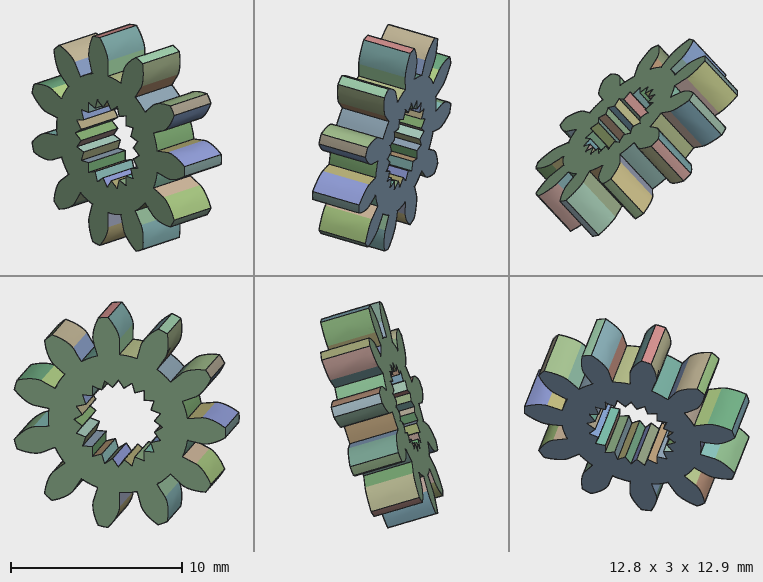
import cadquery as cq
import math


overall_height = 12.94
face_width = 3.0
tooth_count = 11
pressure_angle = math.radians(20)
addendum_ratio = 1.0
dedendum_ratio = 1.25
tip_crown = 0.008
serration_count = 20
notch_radius = 2.68
crest_radius = 2.21
flank_points = 7


def involute(angle):
    """Polar angle swept by an involute at the given pressure angle."""
    return math.tan(angle) - angle


def polar(radius, angle):
    return radius * math.cos(angle), radius * math.sin(angle)


tooth_pitch = 2 * math.pi / tooth_count
base_half_angle = tooth_pitch / 4 + involute(pressure_angle)

pitch_ratio = tooth_count / 2
base_ratio = pitch_ratio * math.cos(pressure_angle)
corner_ratio = pitch_ratio + addendum_ratio
root_ratio = pitch_ratio - dedendum_ratio

corner_pressure_angle = math.acos(base_ratio / corner_ratio)
tip_half_angle = base_half_angle - involute(corner_pressure_angle)
highest_tooth = round(tooth_count / 4) * tooth_pitch
highest_corner_angle = highest_tooth - tip_half_angle
module = overall_height / (2 * corner_ratio * math.sin(highest_corner_angle))

base_radius = module * base_ratio
corner_radius = module * corner_ratio
root_radius = module * root_ratio
crown_radius = corner_radius + tip_crown


def flank_curve(tooth_angle, side):
    """Involute from the base circle to the tooth corner; side is -1 or +1."""
    points = []
    for i in range(flank_points):
        radius = base_radius + (corner_radius - base_radius) * i / (flank_points - 1)
        local_pressure_angle = math.acos(min(1.0, base_radius / radius))
        half_angle = base_half_angle - involute(local_pressure_angle)
        points.append(polar(radius, tooth_angle + side * half_angle))
    return points


def add_tooth(outline, tooth_angle):
    """Add one tooth and the root arc after it, starting at the foot of the tooth."""
    rising_flank = flank_curve(tooth_angle, -1)
    falling_flank = flank_curve(tooth_angle, 1)[::-1]
    root_middle = polar(root_radius, tooth_angle + tooth_pitch / 2)
    next_foot = polar(root_radius, tooth_angle + tooth_pitch - base_half_angle)
    return (
        outline.lineTo(*rising_flank[0])
        .spline(rising_flank[1:], includeCurrent=True)
        .threePointArc(polar(crown_radius, tooth_angle), falling_flank[0])
        .spline(falling_flank[1:], includeCurrent=True)
        .lineTo(*polar(root_radius, tooth_angle + base_half_angle))
        .threePointArc(root_middle, next_foot)
    )


def gear_blank():
    outline = cq.Workplane("XZ").workplane(offset=-face_width / 2)
    outline = outline.moveTo(*polar(root_radius, -base_half_angle))
    for i in range(tooth_count):
        outline = add_tooth(outline, i * tooth_pitch)
    return outline.close().extrude(face_width)


def serrated_bore():
    half_pitch = math.pi / serration_count
    points = []
    for i in range(serration_count):
        notch_angle = 2 * i * half_pitch
        points.append(polar(notch_radius, notch_angle))
        points.append(polar(crest_radius, notch_angle + half_pitch))
    plane = cq.Workplane("XZ").workplane(offset=-face_width / 2)
    return plane.polyline(points).close().extrude(face_width)


result = gear_blank().cut(serrated_bore())